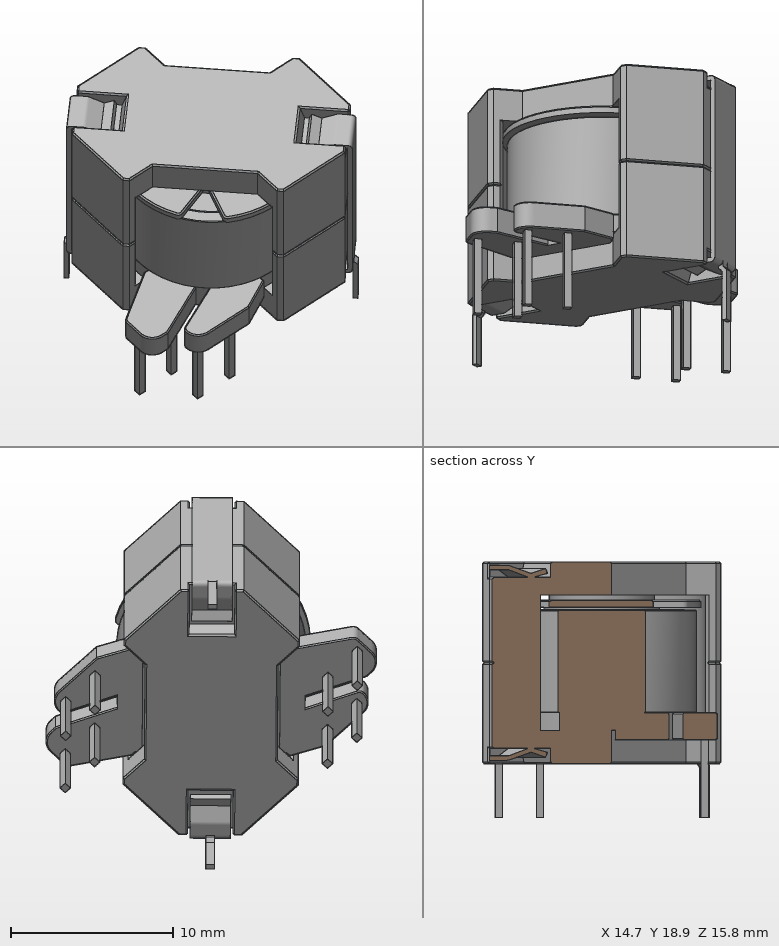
import cadquery as cq
import math


overall_height = 15.78

core_side = 14.7
core_height = 12.46
seam_z = core_height / 2
end_corner_cut = 2.75
notch_wall = 0.6
notch_corner = 5.2
notch_corner_cut = 0.3
core_edge_chamfer = 0.1
post_radius = 6.5 / 2
cavity_radius = 6.4
cavity_floor_z = 2.06
cavity_top_z = core_height - cavity_floor_z
window_chamfer = 0.25

pocket_inner_u = 5.35
pocket_width = 2.8
pocket_depth = 0.95
pocket_back_slope = 0.3

tube_radius = 7.15 / 2
flange_radius = 6.12
flange_bottom_z = 9.65
flange_top_z = 10.1
flange_chamfer = 0.1
flange_corner_radius = 0.3
notch_half_angle = 26.3
notch_apex = 3.2
coil_radius = 11.69 / 2
coil_top_z = 9.48
inner_coil_radius = 10.17 / 2
coil_chamfer = 0.05

base_bottom_z = 1.48
base_top_z = 3.15
base_disc_radius = 5.8
base_clearance = 0.2
base_chamfer = 0.08
finger_outer_radius = 1.0
finger_inner_radius = 0.43

pin_tip_z = core_height - overall_height
pin_size = 0.46
pitch = 1.27
pin_places = [
    (3 * pitch, -7 * pitch),
    (3 * pitch, -5 * pitch),
    (5 * pitch, -5 * pitch),
    (5 * pitch, -3 * pitch),
]

clip_width = 2.5
clip_thickness = 0.3
clip_outer_u = 8.855
clip_end_gap = 0.2
clip_bend_radius = 0.3
clip_arm_bend_radius = 0.4
clip_arm_bend_u = 7.73
clip_valley_u = 6.74
clip_valley_drop = 0.5
clip_tip_u = 6.12
clip_tip_drop = 0.2
clip_seat_half = 0.15
clip_pin_width = 0.55
clip_pin_step = 0.25
clip_pin_top_z = 0.6
joggle_top_z = 0.15
joggle_angle = 45


def both_sides(shape):
    """The shape together with its copy turned half a turn about Z."""
    return shape.union(shape.rotate((0, 0, 0), (0, 0, 1), 180))


def slab(points, width):
    """Profile in the (u, Z) plane, given width centred across the diagonal."""
    return cq.Workplane("XZ").polyline(points).close().extrude(width / 2, both=True)


def edge_near(x, y, z):
    return cq.selectors.NearestToPointSelector((x, y, z))


def core_blank():
    """Outline of one core half, with clip corners at +X+Y and -X-Y and notches on the others."""
    half = core_side / 2
    flat = half - end_corner_cut
    cut = notch_corner_cut
    side = [
        (flat, half),
        (half, flat),
        (half, -notch_wall + cut),
        (half - cut, -notch_wall),
        (notch_corner, -notch_wall),
        (notch_wall, -notch_corner),
        (notch_wall, -half + cut),
        (notch_wall - cut, -half),
    ]
    outline = side + [(-x, -y) for x, y in side]
    return cq.Workplane("XY").polyline(outline).close().extrude(seam_z)


def core_half():
    """One half, seam at Z = 0 and outer face up, with clip pockets and chamfered edges."""
    half = core_blank().rotate((0, 0, 0), (0, 0, 1), -45)
    end_u = (core_side - end_corner_cut) / math.sqrt(2)
    floor_z = seam_z - pocket_depth
    pocket = slab(
        [
            (pocket_inner_u, seam_z),
            (pocket_inner_u + pocket_back_slope, floor_z),
            (end_u, floor_z),
            (end_u, seam_z),
        ],
        pocket_width,
    )
    half = half.cut(both_sides(pocket))
    half = half.faces("<Z").edges().chamfer(core_edge_chamfer)

    rims = half.faces(">Z").edges()
    reach = core_edge_chamfer
    for near, far in ((end_u - reach, end_u + reach), (-end_u - reach, -end_u + reach)):
        mouth = cq.selectors.BoxSelector(
            (near, -pocket_width / 2 - reach, floor_z - reach),
            (far, pocket_width / 2 + reach, seam_z - reach),
        )
        rims = rims.add(half.edges(mouth))
    half = rims.chamfer(core_edge_chamfer)
    return half.rotate((0, 0, 0), (0, 0, 1), 45)


def winding_cavity():
    """Ring around the centre post, flared where it breaks out through the notch walls."""
    height = cavity_top_z - cavity_floor_z
    ring = cq.Workplane("XY").circle(cavity_radius).circle(post_radius).extrude(height)
    edge = math.sqrt(cavity_radius**2 - notch_wall**2)
    flare_points = [
        (edge - window_chamfer, -notch_wall),
        (edge + window_chamfer, -notch_wall),
        (edge, -notch_wall + window_chamfer),
        (edge - window_chamfer, -notch_wall + window_chamfer),
    ]
    mirrored_points = [(-y, -x) for x, y in flare_points]
    for points in (flare_points, mirrored_points):
        ring = ring.union(both_sides(cq.Workplane("XY").polyline(points).close().extrude(height)))
    return ring.translate((0, 0, cavity_floor_z))


def core():
    upper = core_half().translate((0, 0, seam_z))
    lower = core_half().mirror("XY").translate((0, 0, seam_z))
    return upper.union(lower).cut(winding_cavity())


def disc(radius, bottom_z, top_z):
    return cq.Workplane("XY").workplane(offset=bottom_z).circle(radius).extrude(top_z - bottom_z)


def top_flange():
    """Upper flange, with a wedge notch for the leads on its +X-Y side."""
    flange = disc(flange_radius, flange_bottom_z, flange_top_z)
    reach = 2 * flange_radius
    spread = (reach - notch_apex) * math.tan(math.radians(notch_half_angle))
    wedge = (
        cq.Workplane("XY")
        .workplane(offset=flange_bottom_z)
        .polyline([(notch_apex, 0), (reach, spread), (reach, -spread)])
        .close()
        .extrude(flange_top_z - flange_bottom_z)
    )
    flange = flange.cut(wedge)
    flange = flange.edges("|Z").edges(">X").fillet(flange_corner_radius)
    flange = flange.faces(">Z").edges().chamfer(flange_chamfer)
    return flange.rotate((0, 0, 0), (0, 0, 1), -45)


def coil():
    tube = disc(tube_radius, cavity_floor_z, flange_top_z)
    outer = disc(coil_radius, base_top_z, coil_top_z).edges().chamfer(coil_chamfer)
    inner = disc(inner_coil_radius, base_top_z, coil_top_z + coil_chamfer)
    inner = inner.faces(">Z").edges().chamfer(coil_chamfer)
    return tube.union(outer).union(inner)


def finger(points, rounded):
    """A chamfered finger of the terminal base, with the listed (corner, radius) pairs rounded."""
    height = base_top_z - base_bottom_z
    shape = cq.Workplane("XY").workplane(offset=base_bottom_z).polyline(points).close().extrude(height)
    for (x, y), radius in rounded:
        shape = shape.edges("|Z").edges(edge_near(x, y, base_bottom_z + height / 2)).fillet(radius)
    return shape.faces("<Z or >Z").edges().chamfer(base_chamfer)


def terminal_base():
    """The two fingers in the +X-Y notch, joined at their roots by a web with a round front."""
    wall = notch_wall + base_clearance
    root = notch_corner
    long_tip = [(3.06, -9.475), (5.5, -9.475)]
    long_finger = finger(
        [(wall, -root), (wall, -6.05), *long_tip, (5.5, -8.05), (3.3, -3.33)],
        [(long_tip[0], finger_inner_radius), (long_tip[1], finger_outer_radius)],
    )
    short_tip = [(7.13, -7.15), (5.9, -7.15)]
    short_finger = finger(
        [(root, -wall), (6.06, -wall), (7.13, -2.9), *short_tip, (3.92, -2.84)],
        [(short_tip[0], finger_outer_radius), (short_tip[1], finger_inner_radius)],
    )

    far = core_side
    notch_space = (
        cq.Workplane("XY")
        .polyline([(wall, -root), (wall, -far), (far, -far), (far, -wall), (root, -wall)])
        .close()
        .extrude(base_top_z)
    )
    web = disc(base_disc_radius, base_bottom_z, base_top_z).intersect(notch_space)
    return web.union(long_finger).union(short_finger)


def square_pin(x, y):
    height = base_bottom_z - pin_tip_z
    pin = cq.Workplane("XY").box(pin_size, pin_size, height, centered=(True, True, False))
    return pin.translate((x, y, pin_tip_z))


def coil_former():
    base = terminal_base()
    for x, y in pin_places:
        base = base.union(square_pin(x, y))
    floor_disc = disc(base_disc_radius, cavity_floor_z, base_top_z)
    return both_sides(base).union(floor_disc).union(coil()).union(top_flange())


def clip_arm():
    """Upper half of a clip: outer strap, bend over the core and sprung V in the pocket."""
    top = core_height - clip_end_gap
    under = top - clip_thickness
    inner_u = clip_outer_u - clip_thickness
    seat_z = core_height - pocket_depth
    tip_under_u = clip_tip_u - clip_thickness / 2
    arm = slab(
        [
            (clip_outer_u, seam_z),
            (clip_outer_u, top),
            (clip_arm_bend_u, top),
            (clip_valley_u, top - clip_valley_drop),
            (clip_tip_u, top - clip_tip_drop),
            (tip_under_u, under - clip_tip_drop),
            (clip_valley_u - clip_seat_half, seat_z),
            (clip_valley_u + clip_seat_half, seat_z),
            (clip_arm_bend_u, under),
            (inner_u, under),
            (inner_u, seam_z),
        ],
        clip_width,
    )
    arm = arm.edges("|Y").edges(edge_near(clip_outer_u, 0, top)).fillet(clip_bend_radius)
    return arm.edges("|Y").edges(edge_near(clip_arm_bend_u, 0, top)).fillet(clip_arm_bend_radius)


def clip():
    """Spring clip on the +X+Y corner, with its earth pin stepped outward below the core."""
    arm = clip_arm()
    lower_arm = arm.mirror("XY").translate((0, 0, core_height))
    outer = clip_outer_u
    inner = outer - clip_thickness
    step = clip_pin_step
    joggle_drop = step * math.tan(math.radians(joggle_angle))
    joggle_under_z = joggle_top_z - clip_thickness * math.tan(math.radians(joggle_angle / 2))
    pin = slab(
        [
            (inner, clip_pin_top_z),
            (outer, clip_pin_top_z),
            (outer, joggle_top_z),
            (outer + step, joggle_top_z - joggle_drop),
            (outer + step, pin_tip_z),
            (inner + step, pin_tip_z),
            (inner + step, joggle_under_z - joggle_drop),
            (inner, joggle_under_z),
        ],
        clip_pin_width,
    )
    return arm.union(lower_arm).union(pin).rotate((0, 0, 0), (0, 0, 1), 45)


result = core().union(coil_former()).union(both_sides(clip()))